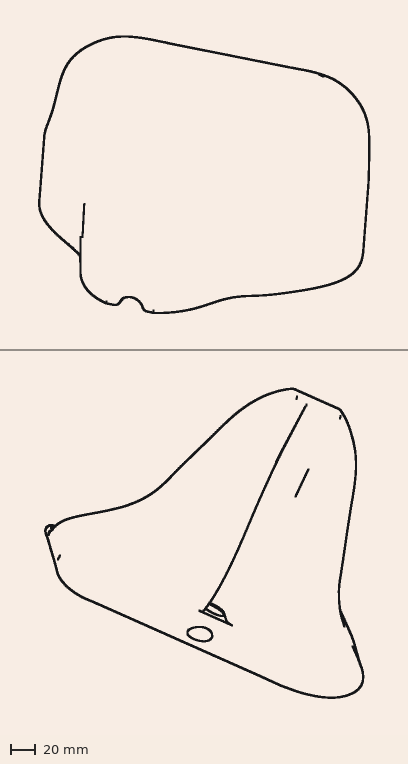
import math

import cadquery as cq

TILT = 13.0
RIM_RADIUS = 5.0
NOSE_HALF_WIDTH = 21.0
NOSE_FACE = -15.75
BODY_HALF_WIDTH = 134.9
OVERSHOOT = 30.0
STOCK_HEIGHT = 400.0

CHANNEL_RADIUS = 10.4
CHANNEL_AXIS = 65.5
CHANNEL_END = 173.0
CHANNEL_LIP_RADIUS = 4.4
HOLE_RADIUS = 9.7
HOLE_DROP = 3.4
EDGE_TOLERANCE = 0.1

SEAT_AND_UNDERSIDE = [
    (-20.0, 97.3),
    (15.5, 88.9),
    (48.1, 82.4),
    (100.3, 74.2),
    (145.0, 68.2),
    (167.0, 66.6),
    (186.0, 68.6),
    (200.0, 73.8),
    (211.2, 89.6),
    (224.2, 115.6),
    (240.0, 131.2),
    (252.3, 136.6),
    (259.0, 133.2),
    (260.4, 124.0),
    (256.5, 103.0),
    (247.0, 73.0),
    (230.8, 40.0),
    (204.7, 15.6),
    (165.5, 0.2),
    (126.4, 8.2),
    (87.3, 31.8),
    (48.1, 51.4),
    (15.5, 62.8),
    (-20.0, 76.0),
]

HALF_PLAN = [
    (NOSE_HALF_WIDTH, NOSE_FACE),
    (36.7, -3.4),
    (50.5, 17.3),
    (62.4, 52.2),
    (73.0, 88.0),
    (80.5, 112.0),
    (93.0, 131.0),
    (121.9, 157.2),
    (BODY_HALF_WIDTH, 176.0),
    (129.5, 196.0),
    (109.5, 211.5),
    (54.0, 225.5),
    (0.0, 230.5),
]

LEAN = math.radians(TILT)
LEANING_PLANE = cq.Plane(
    origin=(0, 0, 0),
    xDir=(1, 0, 0),
    normal=(0, math.sin(LEAN), math.cos(LEAN)),
)
CHANNEL_PLANE = cq.Plane(
    origin=(0, 0, 0),
    xDir=(-1, 0, 0),
    normal=(0, math.cos(LEAN), -math.sin(LEAN)),
)


def side_profile():
    """Seat, backrest and underside, constant along X."""
    half_stock = BODY_HALF_WIDTH + OVERSHOOT
    return (
        cq.Workplane("YZ", origin=(-half_stock, 0, 0))
        .moveTo(*SEAT_AND_UNDERSIDE[0])
        .spline(SEAT_AND_UNDERSIDE[1:], includeCurrent=True)
        .close()
        .extrude(2 * half_stock)
    )


def plan_prism():
    """Plan outline drawn out along the leaning direction; forms the nose face and side walls."""
    other_half = [(-x, y) for x, y in reversed(HALF_PLAN[:-1])]
    outline = HALF_PLAN + other_half
    return (
        cq.Workplane(LEANING_PLANE)
        .workplane(offset=-STOCK_HEIGHT / 2)
        .moveTo(*outline[0])
        .spline(outline[1:], includeCurrent=True)
        .close()
        .extrude(STOCK_HEIGHT)
    )


def channel_stock():
    """Round-topped slot, open below and at the nose."""
    length = CHANNEL_END - NOSE_FACE + OVERSHOOT
    section = cq.Workplane(CHANNEL_PLANE).workplane(offset=NOSE_FACE - OVERSHOOT)
    bore = section.center(0, CHANNEL_AXIS).circle(CHANNEL_RADIUS).extrude(length)
    slot = (
        section.center(0, CHANNEL_AXIS - STOCK_HEIGHT / 2)
        .rect(2 * CHANNEL_RADIUS, STOCK_HEIGHT)
        .extrude(length)
    )
    return bore.union(slot)


def hole_stock():
    """Round hole from the channel end wall out through the back."""
    return (
        cq.Workplane(CHANNEL_PLANE)
        .workplane(offset=CHANNEL_END - OVERSHOOT)
        .center(0, CHANNEL_AXIS - HOLE_DROP)
        .circle(HOLE_RADIUS)
        .extrude(STOCK_HEIGHT)
    )


def is_channel_lip(edge):
    """True for the edges along the open sides of the channel and over its arch at the nose."""
    box = edge.BoundingBox()
    inside_channel = max(abs(box.xmin), abs(box.xmax)) < CHANNEL_RADIUS + EDGE_TOLERANCE
    crosses = box.xlen > CHANNEL_RADIUS
    at_nose = box.ymax < RIM_RADIUS
    return inside_channel and edge.geomType() != "LINE" and (at_nose or not crosses)


body = side_profile().intersect(plan_prism())
rounded = body.edges().fillet(RIM_RADIUS)
grooved = rounded.cut(channel_stock())
lips = [edge for edge in grooved.edges().vals() if is_channel_lip(edge)]
lipped = cq.Workplane(grooved.val().fillet(CHANNEL_LIP_RADIUS, lips))
result = lipped.cut(hole_stock())